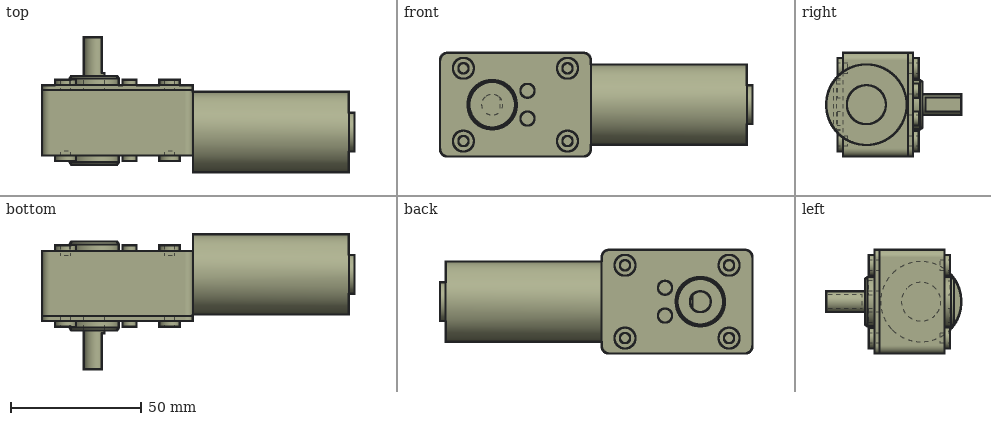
import cadquery as cq


total_length = 120.0
box_length = 58.0
box_height = 40.0
box_depth = 27.0
corner_radius = 3.0
cover_thickness = 1.9
cover_y = box_depth - cover_thickness

boss_height = 2.2
screw_boss_diameter = 8.0
screw_hole_diameter = 4.0
screw_hole_depth = 4.0
screw_first_x = 9.0
screw_spacing_x = 40.0
screw_spacing_z = 28.0
screw_points = [
    (screw_first_x + column * screw_spacing_x, side * screw_spacing_z / 2)
    for column in (0, 1)
    for side in (-1, 1)
]
pin_end_diameter = 5.4
pin_end_x = 33.6
pin_end_spacing = 10.7
pin_end_points = [(pin_end_x, side * pin_end_spacing / 2) for side in (-1, 1)]
hub_diameter = 19.0
hub_height = 3.6
hub_edge_depth = 1.1
hub_edge_width = 0.7

shaft_x = 20.0
shaft_diameter = 8.0
shaft_reach = 18.5
shaft_flat_offset = 3.0
shaft_flat_gap = 1.1

motor_diameter = 31.0
motor_axis_y = 9.0
end_cap_diameter = 15.0
end_cap_length = 2.2
motor_length = total_length - box_length - end_cap_length


def cylinder_y(x, z, diameter, y_start, length):
    """Cylinder parallel to Y; a negative length runs toward -Y."""
    base = cq.Vector(x, y_start, z)
    direction = cq.Vector(0, 1 if length > 0 else -1, 0)
    return cq.Workplane(obj=cq.Solid.makeCylinder(diameter / 2, abs(length), base, direction))


def make_plate(y_start, depth):
    """Rounded rectangular slice of the gearbox."""
    return (
        cq.Workplane("XY")
        .box(box_length, depth, box_height, centered=(False, False, True))
        .translate((0, y_start, 0))
        .edges("|Y")
        .fillet(corner_radius)
    )


def make_hub(face_y, outward):
    """Bearing hub with a bevelled outer edge."""
    hub = cylinder_y(shaft_x, 0, hub_diameter, face_y, outward * hub_height)
    outer_edge = hub.faces(">Y" if outward > 0 else "<Y").edges().val()
    return cq.Workplane(obj=hub.val().chamfer(hub_edge_depth, hub_edge_width, [outer_edge]))


def add_face_details(body, face_y, outward):
    """Add the hub, pin ends and drilled screw bosses to one gearbox face."""
    body = body.union(make_hub(face_y, outward))
    for x, z in pin_end_points:
        body = body.union(cylinder_y(x, z, pin_end_diameter, face_y, outward * boss_height))
    boss_end_y = face_y + outward * boss_height
    for x, z in screw_points:
        body = body.union(cylinder_y(x, z, screw_boss_diameter, face_y, outward * boss_height))
        body = body.cut(cylinder_y(x, z, screw_hole_diameter, boss_end_y, -outward * screw_hole_depth))
    return body


def make_housing():
    return add_face_details(make_plate(0, cover_y), 0, -1)


def make_cover():
    """Rear cover, bored through for the output shaft."""
    cover = add_face_details(make_plate(cover_y, cover_thickness), box_depth, 1)
    bore = cylinder_y(shaft_x, 0, shaft_diameter, cover_y, cover_thickness + hub_height)
    return cover.cut(bore)


def make_shaft():
    """Output shaft seated in the cover bore, with a flat on its +X side."""
    shaft = cylinder_y(shaft_x, 0, shaft_diameter, cover_y, cover_thickness + shaft_reach)
    flat_start_y = box_depth + hub_height + shaft_flat_gap
    flat_cutter = (
        cq.Workplane("XY")
        .box(shaft_diameter, shaft_reach, shaft_diameter, centered=(False, False, True))
        .translate((shaft_x + shaft_flat_offset, flat_start_y, 0))
    )
    return shaft.cut(flat_cutter)


def make_motor():
    """Motor can with a small end cap, butted against the gearbox."""
    return (
        cq.Workplane("YZ", origin=(box_length, motor_axis_y, 0))
        .circle(motor_diameter / 2)
        .extrude(motor_length)
        .faces(">X")
        .workplane()
        .circle(end_cap_diameter / 2)
        .extrude(end_cap_length)
    )


housing = make_housing()
cover = make_cover()
shaft = make_shaft()
motor = make_motor()

result = cq.Compound.makeCompound([housing.val(), cover.val(), shaft.val(), motor.val()])